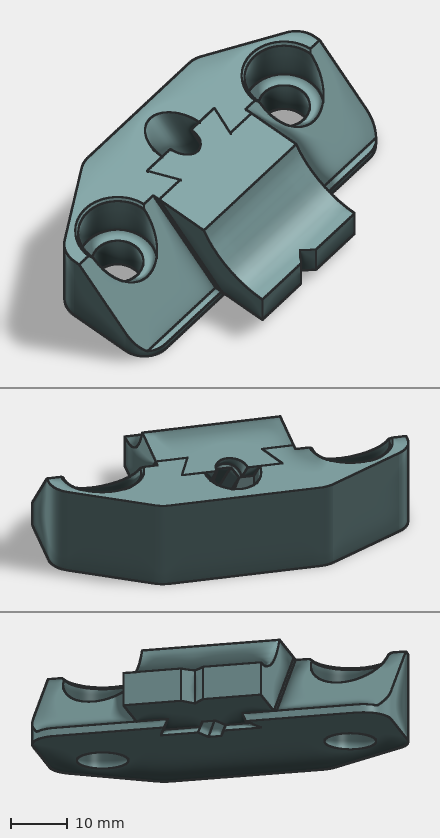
import cadquery as cq
import math

length = 65.0
height = 16.0
base_depth = 30.0
corner_radius = 5.0
back_half_width = 15.0
slant_angle = 60.0
half_length = length / 2
slant_depth = (half_length - back_half_width) / math.tan(math.radians(slant_angle))

ledge = 1.5
ledge_depth = 1.35
slope_run = height - ledge
slope_top_x = base_depth - ledge_depth - slope_run

pad_top_x = slope_top_x + ledge_depth
jaw_half_width = 12.5

dovetail_depth = 5.7
dovetail_mouth_half = 6.75
dovetail_back_half = 9.1
dovetail_back_x = pad_top_x - dovetail_depth

mount_x = 14.5
mount_y = 22.5
mount_radius = 4.55
counterbore_radius = 6.95
counterbore_floor = 7.0
counterbore_chamfer = 0.5

jaw_front_x = 39.5
jaw_top_front_x = 25.95
jaw_tip_height = 7.5
notch_depth = 2.0

screw_direction = cq.Vector(1, 0, -1)
screw_start = cq.Vector(dovetail_back_x, 0, height)
head_radius = 5.0
head_length = 6.5
access_radius = 2.8
hex_across_flats = 4.0
overshoot = 13.0
passage_length = height * math.sqrt(2) + overshoot


def side_prism(points, half_width):
    """Prism with an XZ outline, centred on Y = 0."""
    return cq.Workplane("XZ").polyline(points).close().extrude(half_width, both=True)


def inclined_cylinder(radius, end):
    """Cylinder on the screw axis, from above the top face to the given distance below it."""
    start = screw_start - screw_direction.normalized() * overshoot
    solid = cq.Solid.makeCylinder(radius, end + overshoot, start, screw_direction)
    return cq.Workplane(obj=solid)


def hex_passage():
    """Hexagonal prism on the screw axis, running out through the bottom, with a flat facing the back."""
    plane = cq.Plane(origin=screw_start, xDir=(0, 1, 0), normal=screw_direction)
    across_corners = hex_across_flats / math.cos(math.radians(30))
    return cq.Workplane(plane).polygon(6, across_corners).extrude(passage_length)


def dovetail(bottom):
    """Dovetail tongue running down parallel to the slope, from the top face to the bottom height."""
    drop = height - bottom

    def section(x_shift, z):
        back = dovetail_back_x + x_shift
        mouth = pad_top_x + x_shift
        return cq.Wire.makePolygon([
            cq.Vector(back, -dovetail_back_half, z),
            cq.Vector(mouth, -dovetail_mouth_half, z),
            cq.Vector(mouth, dovetail_mouth_half, z),
            cq.Vector(back, dovetail_back_half, z),
        ], close=True)

    return cq.Workplane(obj=cq.Solid.makeLoft([section(0, height), section(drop, bottom)], True))


def base_blank():
    outline = [
        (0, -back_half_width),
        (slant_depth, -half_length),
        (base_depth, -half_length),
        (base_depth, half_length),
        (slant_depth, half_length),
        (0, back_half_width),
    ]
    blank = cq.Workplane("XY").polyline(outline).close().extrude(height)
    return blank.edges("|Z").fillet(corner_radius)


def slope_cutter():
    return side_prism([
        (slope_top_x, height),
        (slope_top_x + slope_run, ledge),
        (base_depth, ledge),
        (base_depth, height),
    ], half_length)


def jaw_pad():
    return side_prism([
        (slope_top_x, height),
        (pad_top_x, height),
        (base_depth, ledge),
        (slope_top_x + slope_run, ledge),
    ], jaw_half_width)


def mount_cutter(y):
    """Through hole with a chamfered counterbore."""
    profile = [
        (0, 0),
        (mount_radius, 0),
        (mount_radius, counterbore_floor),
        (counterbore_radius, counterbore_floor),
        (counterbore_radius, height - counterbore_chamfer),
        (counterbore_radius + counterbore_chamfer, height),
        (0, height),
    ]
    cutter = cq.Workplane("XZ").polyline(profile).close().revolve(360, (0, 0), (0, 1))
    return cutter.translate((mount_x, y, 0))


def make_base():
    base = base_blank().cut(slope_cutter()).union(jaw_pad())
    for side in (-1, 1):
        base = base.cut(mount_cutter(side * mount_y))
    base = base.cut(dovetail(0))
    base = base.cut(inclined_cylinder(head_radius, head_length))
    return base.cut(hex_passage())


def make_jaw():
    rise = height - jaw_tip_height
    run = jaw_front_x - jaw_top_front_x
    arc_radius = (run**2 + rise**2) / (2 * rise)
    arc_half_angle = math.atan2(run, arc_radius - rise) / 2
    arc_middle = (
        jaw_front_x - arc_radius * math.sin(arc_half_angle),
        jaw_tip_height + arc_radius * (1 - math.cos(arc_half_angle)),
    )
    jaw = (
        cq.Workplane("XZ")
        .moveTo(pad_top_x, height)
        .lineTo(jaw_top_front_x, height)
        .threePointArc(arc_middle, (jaw_front_x, jaw_tip_height))
        .lineTo(jaw_front_x, ledge)
        .lineTo(base_depth, ledge)
        .close()
        .extrude(jaw_half_width, both=True)
    )
    notch = (
        cq.Workplane("XY")
        .polyline([
            (jaw_front_x, -notch_depth),
            (jaw_front_x - notch_depth, 0),
            (jaw_front_x, notch_depth),
        ])
        .close()
        .extrude(height)
    )
    jaw = jaw.union(dovetail(ledge)).cut(notch)
    jaw = jaw.cut(inclined_cylinder(access_radius, head_length))
    return jaw.cut(hex_passage())


base = make_base()
jaw = make_jaw()
result = cq.Compound.makeCompound([base.val(), jaw.val()])